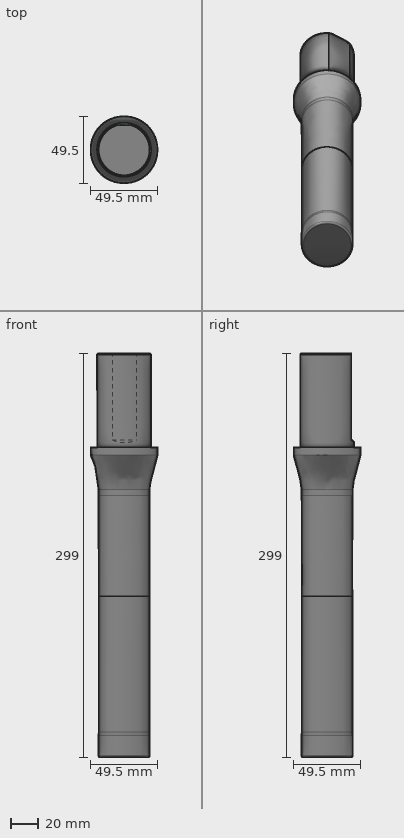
import cadquery as cq

TOTAL_LENGTH = 299.0
FLANGE_TOP = 229.3
FLANGE_BOTTOM = 223.5
CONE_BOTTOM = 203.3
NECK_TOP = 198.2
NECK_BOTTOM = 193.7
TAPER_BOTTOM = 119.3
COLLAR_SLOPE_TOP = 19.0
COLLAR_TOP = 16.5

SHANK_DIAMETER = 40.0
FLANGE_DIAMETER = 49.5
CONE_BOTTOM_DIAMETER = 39.2
NECK_DIAMETER = 38.0
BAR_DIAMETER = 37.7
COLLAR_DIAMETER = 38.0

SHANK_CHAMFER = 1.2
COLLAR_FILLET = 1.5

FLAT_OFFSET = 18.0
FLAT_BOTTOM = 235.0


def make_holder():
    """Shank, flange, cone and tapered neck turned about Z."""
    shank_radius = SHANK_DIAMETER / 2
    flange_radius = FLANGE_DIAMETER / 2
    neck_radius = NECK_DIAMETER / 2
    bar_radius = BAR_DIAMETER / 2

    cone_bottom = (CONE_BOTTOM_DIAMETER / 2, CONE_BOTTOM)
    cone_top = (flange_radius, FLANGE_BOTTOM)
    cone_middle = ((cone_bottom[0] + cone_top[0]) / 2, (cone_bottom[1] + cone_top[1]) / 2)
    cone_direction = (cone_top[0] - cone_bottom[0], cone_top[1] - cone_bottom[1])

    return (
        cq.Workplane("XZ")
        .moveTo(0, TAPER_BOTTOM)
        .lineTo(bar_radius, TAPER_BOTTOM)
        .lineTo(neck_radius, NECK_BOTTOM)
        .lineTo(neck_radius, NECK_TOP)
        .spline(
            [cone_bottom, cone_middle, cone_top],
            tangents=[(0, 1), cone_direction],
            includeCurrent=True,
        )
        .lineTo(flange_radius, FLANGE_TOP)
        .lineTo(shank_radius, FLANGE_TOP)
        .lineTo(shank_radius, TOTAL_LENGTH - SHANK_CHAMFER)
        .lineTo(shank_radius - SHANK_CHAMFER, TOTAL_LENGTH)
        .lineTo(0, TOTAL_LENGTH)
        .close()
        .revolve(360, (0, 0), (0, 1))
    )


def cut_shank_flat(holder):
    """Cut the flat, leaving a 45 degree run-out at its lower end."""
    flat_depth = FLANGE_DIAMETER / 2 - FLAT_OFFSET
    cutter = (
        cq.Workplane("YZ")
        .moveTo(FLAT_OFFSET, FLAT_BOTTOM)
        .lineTo(FLAT_OFFSET, TOTAL_LENGTH)
        .lineTo(FLAT_OFFSET + flat_depth, TOTAL_LENGTH)
        .lineTo(FLAT_OFFSET + flat_depth, FLAT_BOTTOM - flat_depth)
        .close()
        .extrude(FLANGE_DIAMETER / 2, both=True)
    )
    above_flange = cq.Workplane("XY").workplane(offset=FLANGE_TOP).circle(FLANGE_DIAMETER).extrude(
        TOTAL_LENGTH - FLANGE_TOP
    )
    return holder.cut(cutter.intersect(above_flange))


def make_bar():
    """Plain bar with a slightly larger collar at its lower end."""
    bar_radius = BAR_DIAMETER / 2
    collar_radius = COLLAR_DIAMETER / 2
    return (
        cq.Workplane("XZ")
        .moveTo(0, 0)
        .lineTo(collar_radius, 0)
        .lineTo(collar_radius, COLLAR_TOP)
        .lineTo(bar_radius, COLLAR_SLOPE_TOP)
        .lineTo(bar_radius, TAPER_BOTTOM)
        .lineTo(0, TAPER_BOTTOM)
        .close()
        .revolve(360, (0, 0), (0, 1))
        .faces("<Z")
        .edges()
        .fillet(COLLAR_FILLET)
    )


holder = cut_shank_flat(make_holder())
bar = make_bar()
result = cq.Compound.makeCompound([holder.val(), bar.val()])